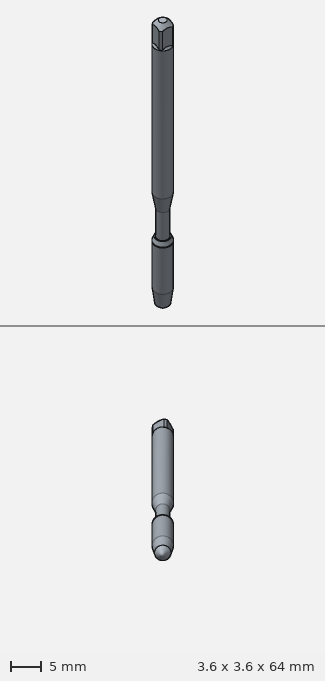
import cadquery as cq

total_length = 64.05
shank_radius = 3.6 / 2
neck_radius = 2.4 / 2
shank_bottom = 25.95
neck_top = 22.35

drive_width = 2.8
drive_corner_radius = 3.45 / 2
drive_top_radius = 0.7
shoulder_top = 59.25
shoulder_height = 0.45

head_top = 16.15
head_top_radius = 1.4
head_radius = 3.5 / 2
rim_radius = shank_radius
rim_height = 0.2
head_shoulder = 15.05
lead_top = 4.75
point_radius = 1.35
point_height = point_radius


def revolve_profile(points):
    """Revolve (radius, height) points about the Z axis."""
    return cq.Workplane("XZ").polyline(points).close().revolve(360, (0, 0), (0, 1))


def make_drive():
    """Square with rounded corners and a 45 degree conical end."""
    cone_height = drive_corner_radius - drive_top_radius
    drive_bottom = shoulder_top - shoulder_height
    envelope = revolve_profile([
        (0, drive_bottom),
        (drive_corner_radius, drive_bottom),
        (drive_corner_radius, total_length - cone_height),
        (drive_top_radius, total_length),
        (0, total_length),
    ])
    square = (
        cq.Workplane("XY")
        .workplane(offset=drive_bottom)
        .rect(drive_width, drive_width)
        .extrude(total_length - drive_bottom)
    )
    return envelope.intersect(square)


def make_shank():
    """Neck, taper and shank with a bevelled shoulder, carrying the square drive."""
    body = revolve_profile([
        (0, head_top),
        (neck_radius, head_top),
        (neck_radius, neck_top),
        (shank_radius, shank_bottom),
        (shank_radius, shoulder_top - shoulder_height),
        (drive_width / 2, shoulder_top),
        (0, shoulder_top),
    ])
    return body.union(make_drive())


def make_cutting_head():
    """Bevelled cylinder with a tapered lead and a conical point."""
    return revolve_profile([
        (0, 0),
        (point_radius, point_height),
        (head_radius, lead_top),
        (head_radius, head_shoulder),
        (rim_radius, head_shoulder),
        (rim_radius, head_shoulder + rim_height),
        (head_top_radius, head_top),
        (0, head_top),
    ])


shank = make_shank()
cutting_head = make_cutting_head()

result = cq.Compound.makeCompound([shank.val(), cutting_head.val()])